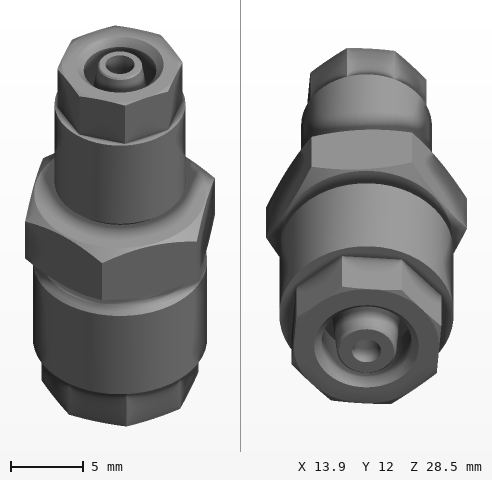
import cadquery as cq
import math

overall_height = 28.5
nut_height = 11.0
cap_height = 3.5
lower_tip_projection = 0.5
lower_nut_top = lower_tip_projection + nut_height
hex_gap_below = 1.0
hex_height = 4.5
hex_bottom = lower_nut_top + hex_gap_below
hex_top = hex_bottom + hex_height
upper_nut_bottom = overall_height - nut_height

hex_sides = 6
hex_flats = 12.0
hex_face_diameter = 11.8
hex_chamfer_angle = 30.0

bevel_reach = 2.0

nut_chamfer = 0.5
cap_sides = 8
cap_chamfer_angle = 15.0
mouth_chamfer = 0.5

upper_nut_diameter = 9.0
upper_cap_flats = 8.0
upper_tube_hole = 5.0
upper_thread_diameter = 7.0
upper_neck_diameter = 6.0
upper_neck_length = 1.5
upper_cone_base = 4.1
upper_tip_diameter = 3.05
upper_tip_chamfer = 0.1

lower_nut_diameter = 12.0
lower_cap_flats = 10.0
lower_tube_hole = 6.2
lower_thread_diameter = 10.0
lower_neck_diameter = 8.5
lower_neck_length = 1.45
lower_cone_base = 4.7
lower_tip_diameter = 4.12
lower_tip_chamfer = 0.17

through_bore = 2.0


def revolve_profile(points):
    """Turn an outline of (radius, height) points about the Z axis."""
    return cq.Workplane("XZ").polyline(points).close().revolve(360, (0, 0), (0, 1))


def polygon_prism(sides, flats, height):
    """Regular prism standing on Z = 0 with a corner on the X axis."""
    across_corners = flats / math.cos(math.pi / sides)
    return cq.Workplane("XY").polygon(sides, across_corners).extrude(height)


def turn_over(shape, top):
    """Turn a shape standing on Z = 0 upside down, so that its base ends up at the given height."""
    return shape.rotate((0, 0, 0), (1, 0, 0), 180).translate((0, 0, top))


def bevel_corners(prism, face_diameter, angle, height):
    """Bevel the top corners of a prism, leaving a round face of the given diameter."""
    face_radius = face_diameter / 2
    drop = bevel_reach * math.tan(math.radians(angle))
    envelope = revolve_profile([
        (0, 0),
        (face_radius + bevel_reach, 0),
        (face_radius + bevel_reach, height - drop),
        (face_radius, height),
        (0, height),
    ])
    return prism.intersect(envelope)


def make_nut(diameter, cap_flats, tube_hole, thread_diameter):
    """Union nut: round sleeve below, octagonal cap on top, sleeve mouth at Z = 0."""
    sleeve_height = nut_height - cap_height
    sleeve = cq.Workplane("XY").circle(diameter / 2).extrude(sleeve_height)
    sleeve = sleeve.faces("<Z").edges().chamfer(nut_chamfer)

    cap = polygon_prism(cap_sides, cap_flats, cap_height)
    cap = bevel_corners(cap, cap_flats, cap_chamfer_angle, cap_height)
    nut = sleeve.union(cap.translate((0, 0, sleeve_height)))

    thread_radius = thread_diameter / 2
    hole_radius = tube_hole / 2
    opening = revolve_profile([
        (0, 0),
        (thread_radius, 0),
        (thread_radius, sleeve_height),
        (hole_radius, sleeve_height),
        (hole_radius, nut_height - mouth_chamfer),
        (hole_radius + mouth_chamfer, nut_height),
        (0, nut_height),
    ])
    return nut.cut(opening)


def make_stem(length, nose_length, neck_diameter, neck_length, thread_diameter,
              cone_base, tip_diameter, tip_chamfer):
    """Stem standing on Z = 0: neck, thread with a 45-degree lead, flat shoulder and tube cone."""
    neck_radius = neck_diameter / 2
    thread_radius = thread_diameter / 2
    tip_radius = tip_diameter / 2
    thread_start = neck_length + thread_radius - neck_radius
    shoulder = length - nose_length
    return revolve_profile([
        (0, 0),
        (neck_radius, 0),
        (neck_radius, neck_length),
        (thread_radius, thread_start),
        (thread_radius, shoulder),
        (cone_base / 2, shoulder),
        (tip_radius, length - tip_chamfer),
        (tip_radius - tip_chamfer, length),
        (0, length),
    ])


def make_body():
    """Fitting body: central hexagon with a stem each way, bored through."""
    hexagon = polygon_prism(hex_sides, hex_flats, hex_height)
    for _ in range(2):
        hexagon = bevel_corners(hexagon, hex_face_diameter, hex_chamfer_angle, hex_height)
        hexagon = turn_over(hexagon, hex_height)
    hexagon = hexagon.translate((0, 0, hex_bottom))

    upper_stem = make_stem(
        overall_height - hex_top,
        cap_height,
        upper_neck_diameter,
        upper_neck_length,
        upper_thread_diameter,
        upper_cone_base,
        upper_tip_diameter,
        upper_tip_chamfer,
    ).translate((0, 0, hex_top))

    lower_stem = make_stem(
        hex_bottom,
        cap_height + lower_tip_projection,
        lower_neck_diameter,
        lower_neck_length,
        lower_thread_diameter,
        lower_cone_base,
        lower_tip_diameter,
        lower_tip_chamfer,
    )
    lower_stem = turn_over(lower_stem, hex_bottom)

    bore = cq.Workplane("XY").circle(through_bore / 2).extrude(overall_height)
    return hexagon.union(upper_stem).union(lower_stem).cut(bore)


body = make_body()

upper_nut = make_nut(upper_nut_diameter, upper_cap_flats, upper_tube_hole, upper_thread_diameter)
upper_nut = upper_nut.translate((0, 0, upper_nut_bottom))

lower_nut = make_nut(lower_nut_diameter, lower_cap_flats, lower_tube_hole, lower_thread_diameter)
lower_nut = turn_over(lower_nut, lower_nut_top)

result = cq.Compound.makeCompound([body.val(), upper_nut.val(), lower_nut.val()])